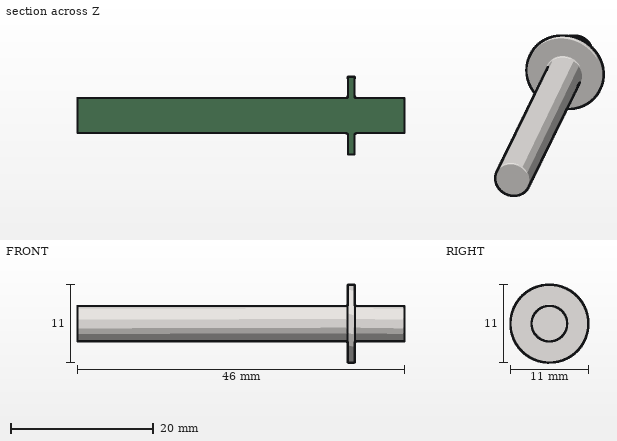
import cadquery as cq

length = 46.0
shaft_diameter = 5.0
flange_diameter = 11.0
flange_thickness = 1.0
short_end_length = 7.0
edge_radius = 0.2

shaft_start = -length / 2
flange_start = length / 2 - short_end_length - flange_thickness


def cylinder_along_x(start, diameter, span):
    """Solid cylinder on the X axis, running from start towards +X."""
    plane = cq.Workplane("YZ", origin=(start, 0, 0))
    return plane.circle(diameter / 2).extrude(span)


shaft = cylinder_along_x(shaft_start, shaft_diameter, length)
flange = cylinder_along_x(flange_start, flange_diameter, flange_thickness)
pin = shaft.union(flange)

result = pin.edges("%CIRCLE").fillet(edge_radius)